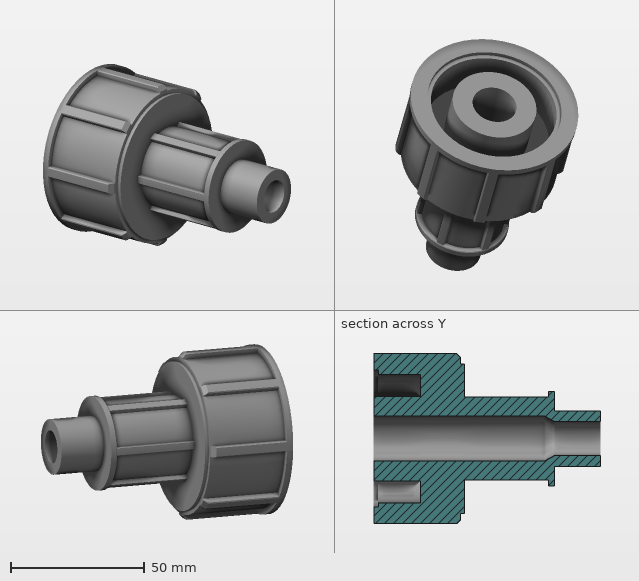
import cadquery as cq
import math

total_length = 85.0
collar_length = 2.5
nut_length = 32.6
washer_end = 34.0
flange_start = 65.35
flange_end = 67.8

nut_diameter = 64.0
nut_core_diameter = 59.52
nut_rib_count = 8
nut_rib_width = 4.0
nut_rib_end_chamfer = 1.6
nut_rib_edge_chamfer = 0.35
washer_diameter = 56.32

mouth_diameter = 51.2
mouth_depth = 1.6
cavity_diameter = 48.0
cavity_depth = 17.4

boss_diameter = 32.0
barrel_diameter = 31.4
barrel_rib_diameter = 35.0
barrel_rib_count = 6
barrel_rib_width = 3.0
barrel_rib_edge_chamfer = 0.15
flange_diameter = 35.62
flange_chamfer = 0.3
spigot_diameter = 20.95

bore_inlet_diameter = 16.76
bore_outlet_diameter = 12.57
taper_start = 64.0


def cylinder(diameter, start, end):
    """Solid cylinder on the X axis between two stations."""
    return cq.Workplane("YZ").workplane(offset=start).circle(diameter / 2).extrude(end - start)


def make_rib(width, diameter, edge_chamfer, start, end):
    """Rib along X, reaching from the axis towards +Y, with chamfered long edges and a round tip."""
    tip_radius = diameter / 2
    half_width = width / 2
    half_tip = half_width - edge_chamfer
    tip_corner = math.sqrt(tip_radius**2 - half_tip**2)
    shoulder = tip_corner - edge_chamfer
    return (
        cq.Workplane("YZ")
        .workplane(offset=start)
        .moveTo(0, -half_width)
        .lineTo(shoulder, -half_width)
        .lineTo(tip_corner, -half_tip)
        .threePointArc((tip_radius, 0), (tip_corner, half_tip))
        .lineTo(shoulder, half_width)
        .lineTo(0, half_width)
        .close()
        .extrude(end - start)
    )


def add_around_axis(body, feature, count):
    """Join evenly spaced copies of a feature, turned about the X axis, to a body."""
    for index in range(count):
        body = body.union(feature.rotate((0, 0, 0), (1, 0, 0), index * 360 / count))
    return body


def make_nut_rib():
    """Nut rib with a flat sloping cut across the outer corner of its free end."""
    rib = make_rib(nut_rib_width, nut_diameter, nut_rib_edge_chamfer, 0, nut_length)
    tip_radius = nut_diameter / 2
    corner = (
        cq.Workplane("XY")
        .moveTo(nut_length, tip_radius)
        .lineTo(nut_length - nut_rib_end_chamfer, tip_radius)
        .lineTo(nut_length, tip_radius - nut_rib_end_chamfer)
        .close()
        .extrude(nut_rib_width, both=True)
    )
    return rib.cut(corner)


def make_nut():
    """Ribbed nut body with end collar, back washer and stepped cavity."""
    nut = cylinder(nut_core_diameter, 0, nut_length)
    nut = add_around_axis(nut, make_nut_rib(), nut_rib_count)
    nut = nut.union(cylinder(nut_diameter, 0, collar_length))
    nut = nut.union(cylinder(washer_diameter, nut_length, washer_end))
    nut = nut.cut(cylinder(mouth_diameter, 0, mouth_depth))
    return nut.cut(cylinder(cavity_diameter, 0, cavity_depth))


def make_tail():
    """Boss inside the nut, ribbed barrel, flange and spigot."""
    tail = cylinder(boss_diameter, 0, washer_end)
    tail = tail.union(cylinder(barrel_diameter, washer_end, flange_start))
    rib = make_rib(
        barrel_rib_width, barrel_rib_diameter, barrel_rib_edge_chamfer, washer_end, flange_start
    )
    tail = add_around_axis(tail, rib, barrel_rib_count)
    flange = cylinder(flange_diameter, flange_start, flange_end).faces("<X").chamfer(flange_chamfer)
    tail = tail.union(flange)
    return tail.union(cylinder(spigot_diameter, flange_end, total_length))


def make_bore():
    """Through bore that tapers down to the spigot bore inside the flange."""
    taper_length = flange_end - taper_start
    wide = cylinder(bore_inlet_diameter, 0, taper_start)
    taper = cq.Workplane("YZ").workplane(offset=taper_start).circle(bore_inlet_diameter / 2)
    taper = taper.workplane(offset=taper_length).circle(bore_outlet_diameter / 2).loft(ruled=True)
    narrow = cylinder(bore_outlet_diameter, flange_end, total_length)
    return wide.union(taper).union(narrow)


result = make_nut().union(make_tail()).cut(make_bore())